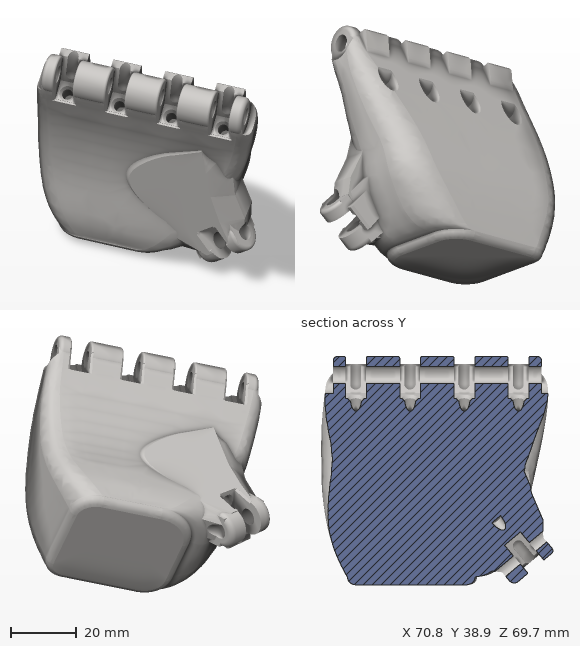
import cadquery as cq
import math


HINGE_Z = 63.99
KNUCKLE_R = 5.73
PIN_BORE = 5.33
KNUCKLE_ROUND = 0.6
FIRST_GAP_X = 10.5
GAP_PITCH = 16.5
GAP_COUNT = 4
GAP_W = 6.2
LUG_LEFT_X = 3.5
LUG_RIGHT_X = 67.1
LUG_ROUND = 1.4
GAP_CENTRES = [FIRST_GAP_X + i * GAP_PITCH for i in range(GAP_COUNT)]

SHELF_FRONT = (-3.3, -8.3)
SHELF_BACK = (2.6, -5.6)
WALL_TOP = (5.6, 2.4)
SHELF_SLOPE = (SHELF_BACK[1] - SHELF_FRONT[1]) / (SHELF_BACK[0] - SHELF_FRONT[0])
WALL_LEAN = (WALL_TOP[0] - SHELF_BACK[0]) / (WALL_TOP[1] - SHELF_BACK[1])
GAP_REACH = 12.0
GAP_BEVEL = 0.65
BEVEL_TOP = -1.5
FINGER_PALM_Y = (-5.5, -3.6)
THUMB_PALM_Y = (-5.5, -4.2)
HOOD_W = 8.9
HOOD_OUTLINE = [(2.6, -6.0), (5.6, 2.4), (7.7, 3.25), (8.5, 2.5), (9.1, -3.0), (9.1, -6.0)]
GROOVE_D = 3.3
GROOVE_END_DROP = 5.4
SHELF_HOLE_Y = -0.8
SHELF_HOLE_D = 3.3
SHELF_SINK_D = 4.9
SHELF_SINK_DEPTH = 0.8
SHELF_HOLE_DEPTH = 7.0

TIE_D = 6.77
TIE_Y = 13.8
TIE_Z = 51.0
TIE_TILT = 26.0
TIE_CHORD = 2.34
TIE_TO_BACK = 36.0

THUMB_X = 61.9
THUMB_Y = -3.0
THUMB_Z = 9.63
THUMB_ANGLE = 40.0
THUMB_INNER_LUG = 5.9
THUMB_OUTER_LUG = 4.3
THUMB_OUTER_ROUND = 1.1
THUMB_INNER_ROUND = 1.8
THUMB_ROOT = [(-5.6, 0.0), (5.1, 2.6), (12.5, -11.5), (0.0, -11.5)]
SIDE_CLEARANCE = 12.0

PAD_TOP_Y = -2.0
PAD_SLOPE_X = -0.07
PAD_SLOPE_Z = 0.178
PAD_FLARE_DEPTH = -1.8
PAD_FLARE_TILT = 0.1
PAD_ROOT_DEPTH = 7.5
PAD_FACE = {
    "top": (53.6, 45.4),
    "curve": [(45.0, 41.2), (35.5, 35.0), (31.0, 27.6), (35.5, 20.3), (43.8, 15.1)],
    "rest": [(46.5, 10.4), (57.4, 6.7), (64.8, 12.6), (60.8, 20.5), (57.4, 29.2), (55.4, 37.5)],
}
PAD_FOOT = {
    "top": (52.5, 49.5),
    "curve": [(43.5, 44.6), (33.5, 36.7), (29.0, 27.6), (33.5, 19.0), (42.5, 12.5)],
    "rest": [(48.0, 4.6), (55.0, 3.8), (67.6, 14.4), (67.5, 19.8), (64.0, 28.0), (61.5, 45.5)],
}

FINGER_PLANES = [
    cq.Plane(origin=(x, 0, HINGE_Z), xDir=(1, 0, 0), normal=(0, 0, 1)) for x in GAP_CENTRES
]
THUMB_TURN = math.radians(THUMB_ANGLE)
THUMB_PLANE = cq.Plane(
    origin=(THUMB_X, THUMB_Y, THUMB_Z),
    xDir=(-math.cos(THUMB_TURN), 0, -math.sin(THUMB_TURN)),
    normal=(math.sin(THUMB_TURN), 0, -math.cos(THUMB_TURN)),
)
HINGES = [(plane, FINGER_PALM_Y) for plane in FINGER_PLANES] + [(THUMB_PLANE, THUMB_PALM_Y)]

BASE_HEIGHT = 2.4
BASE_STEPS = [(0.0, 2.4), (0.7, 0.8), (BASE_HEIGHT, 0.0)]
PALM_STATIONS = [
    (BASE_HEIGHT, 7.8, 47.5, -9.54, 29.33, 0.0, 8.5, 12.5, 9.0, 6.5),
    (5.0, 6.4, 54.0, -9.2, 29.2, 0.0, 8.0, 14.0, 11.0, 6.5),
    (12.0, 3.4, 59.0, -7.6, 28.6, 0.5, 7.0, 13.0, 11.5, 6.5),
    (20.0, 1.4, 62.5, -4.4, 27.3, 0.7, 6.0, 11.0, 10.5, 6.0),
    (28.0, 0.3, 63.8, -2.2, 24.9, 0.6, 5.5, 8.0, 9.5, 6.0),
    (38.0, 0.0, 66.0, -1.2, 20.4, 0.4, 5.0, 5.0, 9.0, 5.0),
    (48.0, 0.1, 68.0, -1.8, 15.3, 0.3, 4.5, 4.5, 7.5, 5.0),
    (56.0, 0.8, 69.0, -3.7, 11.0, 0.0, 4.0, 4.0, 5.5, 4.5),
    (61.3, 1.5, 68.8, -4.9, 8.1, 0.0, 3.5, 3.5, 3.5, 3.5),
    (65.8, 3.2, 67.0, -4.0, 5.4, 0.0, 3.0, 3.0, 3.0, 3.0),
]


def corner_mid(cx, cy, radius, angle):
    """Point on a corner arc at `angle` degrees around its centre."""
    turn = math.radians(angle)
    return (cx + radius * math.cos(turn), cy + radius * math.sin(turn))


def palm_section(z, left, right, front, back, bulge, r_fl, r_fr, r_br, r_bl):
    """Rounded quadrilateral across the palm, its front side bowed out by `bulge`."""
    front_mid = ((left + r_fl + right - r_fr) / 2, front - bulge)
    section = (
        cq.Workplane("XY", origin=(0, 0, z))
        .moveTo(left + r_fl, front)
        .spline([front_mid, (right - r_fr, front)], includeCurrent=True)
        .threePointArc(corner_mid(right - r_fr, front + r_fr, r_fr, -45), (right, front + r_fr))
        .lineTo(right, back - r_br)
        .threePointArc(corner_mid(right - r_br, back - r_br, r_br, 45), (right - r_br, back))
        .lineTo(left + r_bl, back)
        .threePointArc(corner_mid(left + r_bl, back - r_bl, r_bl, 135), (left, back - r_bl))
        .lineTo(left, front + r_fl)
        .threePointArc(corner_mid(left + r_fl, front + r_fl, r_fl, 225), (left + r_fl, front))
        .close()
    )
    return section.val()


def base_section(z, inset):
    """Lowest palm section pulled in evenly, giving the wrist edge its round."""
    _, left, right, front, back, bulge, *radii = PALM_STATIONS[0]
    inner_radii = [r - inset for r in radii]
    return palm_section(z, left + inset, right - inset, front + inset, back - inset, bulge, *inner_radii)


def palm():
    body = cq.Workplane(cq.Solid.makeLoft([palm_section(*s) for s in PALM_STATIONS]))
    base = cq.Workplane(cq.Solid.makeLoft([base_section(*s) for s in BASE_STEPS]))
    return body.union(base)


def x_cylinder(x_start, x_end, radius):
    return (
        cq.Workplane("YZ", origin=(x_start, 0, HINGE_Z))
        .circle(radius)
        .extrude(x_end - x_start)
    )


def finger_knuckles():
    """Row of barrels between the gaps, with an end lug at each side of the hand."""
    edges = [LUG_LEFT_X]
    for x in GAP_CENTRES:
        edges += [x - GAP_W / 2, x + GAP_W / 2]
    edges.append(LUG_RIGHT_X)
    row = cq.Workplane()
    for start, end in zip(edges[::2], edges[1::2]):
        left_round = LUG_ROUND if start == LUG_LEFT_X else KNUCKLE_ROUND
        right_round = LUG_ROUND if end == LUG_RIGHT_X else KNUCKLE_ROUND
        barrel = x_cylinder(start, end, KNUCKLE_R)
        barrel = barrel.faces("<X").edges().fillet(left_round)
        barrel = barrel.faces(">X").edges().fillet(right_round)
        row = row.add(barrel)
    return row.combine()


def placed(shape, plane):
    return shape.val().located(cq.Location(plane))


def side_prism(outline, width):
    """Prism across the hinge axis from a (dorsal, distal) outline, centred on the gap."""
    return cq.Workplane("YZ").polyline(outline).close().extrude(width / 2, both=True)


def gap_cutter():
    """Space swept by the finger: sloped shelf, leaning back wall, open to the palm and the tip."""
    front_z = SHELF_FRONT[1] - SHELF_SLOPE * (GAP_REACH + SHELF_FRONT[0])
    top_y = WALL_TOP[0] + WALL_LEAN * (GAP_REACH - WALL_TOP[1])
    outline = [
        (-GAP_REACH, front_z),
        SHELF_BACK,
        WALL_TOP,
        (top_y, GAP_REACH),
        (-GAP_REACH, GAP_REACH),
    ]
    return side_prism(outline, GAP_W)


def gap_edge_relief(upper_y, lower_y):
    """Bevel along both palm-side edges of a gap; the palm runs from upper_y to lower_y beside it."""
    def section(palm_y, z):
        half_gap = GAP_W / 2
        half_mouth = half_gap + GAP_BEVEL
        outer_y = palm_y - GAP_BEVEL
        return (
            cq.Workplane("XY", origin=(0, 0, z))
            .moveTo(-half_gap, palm_y + GAP_BEVEL)
            .lineTo(half_gap, palm_y + GAP_BEVEL)
            .lineTo(half_mouth, palm_y)
            .lineTo(half_mouth, outer_y)
            .lineTo(-half_mouth, outer_y)
            .lineTo(-half_mouth, palm_y)
            .close()
            .val()
        )

    upper = section(upper_y, BEVEL_TOP)
    lower = section(lower_y, SHELF_FRONT[1])
    return cq.Workplane(cq.Solid.makeLoft([upper, lower], True))


def gap_drilling():
    """Round-ended tendon groove along the back wall and the countersunk hole in the shelf."""
    end = (0, WALL_TOP[0] - WALL_LEAN * GROOVE_END_DROP, WALL_TOP[1] - GROOVE_END_DROP)
    axis = cq.Plane(origin=end, xDir=(1, 0, 0), normal=(0, WALL_LEAN, 1))
    groove = cq.Workplane(axis).circle(GROOVE_D / 2).extrude(GAP_REACH)
    tip = cq.Workplane(axis).sphere(GROOVE_D / 2)
    return groove.union(tip).union(shelf_hole())


def shelf_hole():
    mouth_z = SHELF_FRONT[1] + SHELF_SLOPE * (SHELF_HOLE_Y - SHELF_FRONT[0])
    tilt = math.atan(SHELF_SLOPE)
    plane = cq.Plane(
        origin=(0, SHELF_HOLE_Y, mouth_z),
        xDir=(1, 0, 0),
        normal=(0, -math.sin(tilt), math.cos(tilt)),
    )
    hole = cq.Workplane(plane).circle(SHELF_HOLE_D / 2).extrude(-SHELF_HOLE_DEPTH)
    sink = (
        cq.Workplane(plane)
        .circle(SHELF_SINK_D / 2)
        .workplane(offset=-SHELF_SINK_DEPTH)
        .circle(SHELF_HOLE_D / 2)
        .loft()
    )
    return hole.union(sink)


def hood():
    """Tab that carries the tendon behind the gap."""
    return side_prism(HOOD_OUTLINE, HOOD_W)


def tie_pocket(x):
    """Blind round pocket entering the back of the hand upwards."""
    tilt = math.radians(TIE_TILT)
    end = TIE_CHORD / math.tan(math.radians(TIE_TO_BACK))
    plane = cq.Plane(
        origin=(x, TIE_Y, TIE_Z),
        xDir=(1, 0, 0),
        normal=(0, -math.cos(tilt), math.sin(tilt)),
    )
    return cq.Workplane(plane).workplane(offset=end).circle(TIE_D / 2).extrude(-end - GAP_REACH)


def pad_wire(outline, depth, tilt):
    """Closed (X, Z) outline on the pad plane, sunk into the hand by `depth` plus `tilt` per mm of X."""
    top_x, top_z = PAD_FACE["top"]

    def on_plane(point):
        x, z = point
        pad_y = PAD_TOP_Y + PAD_SLOPE_X * (x - top_x) + PAD_SLOPE_Z * (z - top_z)
        return cq.Vector(x, pad_y + depth + tilt * x, z)

    top = on_plane(outline["top"])
    curve = [on_plane(p) for p in outline["curve"]]
    corners = [curve[-1]] + [on_plane(p) for p in outline["rest"]] + [top]
    edges = [cq.Edge.makeLine(top, curve[0]), cq.Edge.makeSpline(curve)]
    edges += [cq.Edge.makeLine(p, q) for p, q in zip(corners, corners[1:])]
    return cq.Wire.assembleEdges(edges)


def thumb_pad():
    foot = pad_wire(PAD_FOOT, PAD_FLARE_DEPTH, PAD_FLARE_TILT)
    mound = cq.Workplane(cq.Solid.makeLoft([pad_wire(PAD_FACE, 0, 0), foot], True))
    root = cq.Solid.extrudeLinear(foot, [], cq.Vector(0, PAD_ROOT_DEPTH, 0))
    return mound.union(cq.Workplane(root))


def thumb_hinge():
    """Barrel on the thumb axis and the root that carries it, in the hinge's own frame."""
    start = -GAP_W / 2 - THUMB_OUTER_LUG
    length = THUMB_OUTER_LUG + GAP_W + THUMB_INNER_LUG
    section = cq.Workplane("YZ", origin=(start, 0, 0))
    barrel = section.circle(KNUCKLE_R).extrude(length)
    barrel = barrel.faces("<X").edges().fillet(THUMB_OUTER_ROUND)
    barrel = barrel.faces(">X").edges().fillet(THUMB_INNER_ROUND)
    root = section.polyline(THUMB_ROOT).close().extrude(length)
    return barrel.union(root)


def side_relief(x_start, x_end):
    """Round recess in the side of the hand that clears the head of the hinge pin."""
    return x_cylinder(x_start, x_end, KNUCKLE_R)


def pin_bores():
    fingers = x_cylinder(-SIDE_CLEARANCE, LUG_RIGHT_X + SIDE_CLEARANCE, PIN_BORE / 2)
    thumb = cq.Workplane("YZ").circle(PIN_BORE / 2).extrude(SIDE_CLEARANCE, both=True)
    return fingers.union(cq.Workplane(placed(thumb, THUMB_PLANE)))


result = palm().union(finger_knuckles()).union(thumb_pad())
result = result.union(cq.Workplane(placed(thumb_hinge(), THUMB_PLANE)))
result = result.cut(side_relief(LUG_LEFT_X - SIDE_CLEARANCE, LUG_LEFT_X))
result = result.cut(side_relief(LUG_RIGHT_X, LUG_RIGHT_X + SIDE_CLEARANCE))
for plane, palm_y in HINGES:
    result = result.cut(cq.Workplane(placed(gap_cutter(), plane)))
    result = result.cut(cq.Workplane(placed(gap_edge_relief(*palm_y), plane)))
    result = result.union(cq.Workplane(placed(hood(), plane)))
    result = result.cut(cq.Workplane(placed(gap_drilling(), plane)))
for x in GAP_CENTRES:
    result = result.cut(tie_pocket(x))
result = result.cut(pin_bores())